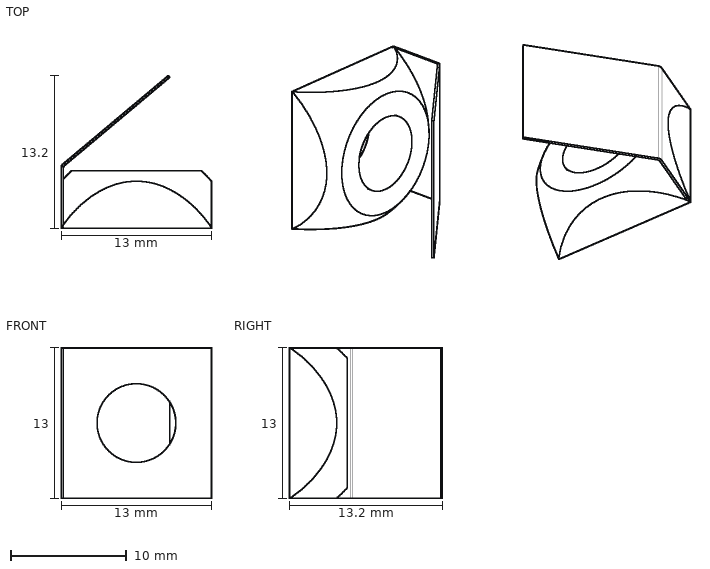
import cadquery as cq
import math

width = 13.0
half_width = width / 2
nut_depth = 5.0
back_radius = 5.6
dome_mid_radius = 7.78
dome_mid_y = 2.48
rim_height = 0.07
hole_diameter = 6.8

total_depth = 13.21
plate_thickness = 0.2
front_strip_height = 0.1
leg_length = 5.25
bend_angle = 50.0
bend_outer_radius = 0.42


def make_nut():
    """Square block rounded by a domed revolve, with a stepped left side and a through hole."""
    corner_radius = math.hypot(half_width, half_width)
    dome = (
        cq.Workplane("XY")
        .lineTo(corner_radius, 0)
        .lineTo(corner_radius, rim_height)
        .threePointArc((dome_mid_radius, dome_mid_y), (back_radius, nut_depth))
        .lineTo(0, nut_depth)
        .close()
        .revolve(360, (0, 0, 0), (0, 1, 0))
        .translate((half_width, 0, 0))
    )
    block = cq.Workplane("XY").box(width, nut_depth, width, centered=(False, False, True))
    hole = (
        cq.Workplane("XZ", origin=(half_width, 0, 0))
        .circle(hole_diameter / 2)
        .extrude(-nut_depth)
    )
    strip_step = cq.Workplane("XY").box(
        plate_thickness, front_strip_height, width, centered=(False, False, True)
    )
    return block.intersect(dome).cut(hole).cut(strip_step)


def make_plate(nut):
    """Leg, rounded bend and slanted flange, with a window fitting the side of the nut."""
    turn = math.radians(bend_angle)
    inner_radius = bend_outer_radius - plate_thickness

    def bend_point(radius, angle):
        return (bend_outer_radius - radius * math.cos(angle), leg_length + radius * math.sin(angle))

    outer_end = bend_point(bend_outer_radius, turn)
    inner_end = bend_point(inner_radius, turn)
    flange_length = (total_depth - outer_end[1]) / math.cos(turn)
    flange_x = flange_length * math.sin(turn)
    flange_y = flange_length * math.cos(turn)

    sheet = (
        cq.Workplane("XY", origin=(0, 0, -half_width))
        .lineTo(0, leg_length)
        .threePointArc(bend_point(bend_outer_radius, turn / 2), outer_end)
        .lineTo(outer_end[0] + flange_x, outer_end[1] + flange_y)
        .lineTo(inner_end[0] + flange_x, inner_end[1] + flange_y)
        .lineTo(*inner_end)
        .threePointArc(bend_point(inner_radius, turn / 2), (plate_thickness, leg_length))
        .lineTo(plate_thickness, 0)
        .close()
        .extrude(width)
    )
    return sheet.cut(nut)


nut = make_nut()
plate = make_plate(nut)

result = cq.Compound.makeCompound([nut.solids().val(), plate.solids().val()])